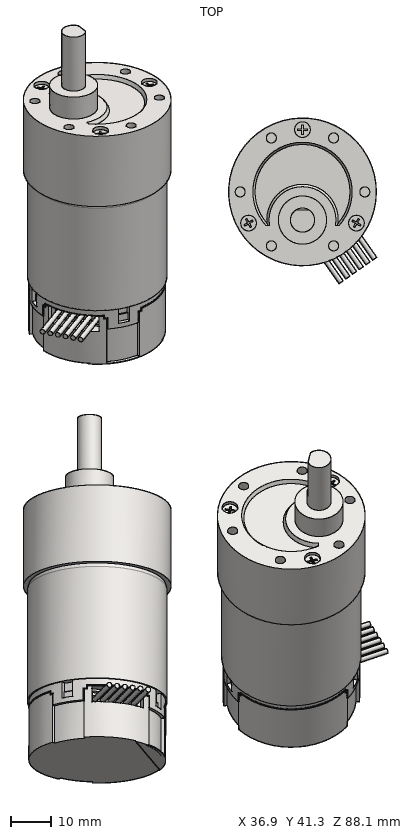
import cadquery as cq
import math


cap_radius = 17.05
cap_height = 15.4
can_radius = 17.4
can_length = 30.5
can_top_chamfer_height = 1.0
can_top_chamfer_width = 0.25
head_radius = 18.4
head_length = 20.2
boss_radius = 6.0
boss_height = 6.3
shaft_radius = 3.0
shaft_length = 15.5
shaft_offset = -7.0
can_bottom = cap_height
head_bottom = can_bottom + can_length
face_height = head_bottom + head_length
boss_top = face_height + boss_height
shaft_top = boss_top + shaft_length

flat_length = 12.2
flat_distance = 2.5

crescent_depth = 1.0
crescent_outer_rim = 12.35
crescent_outer_floor = 11.8
crescent_inner_rim = 8.3
crescent_inner_floor = 8.9
crescent_tip_y = -8.4

bolt_circle_radius = 15.5
mount_hole_diameter = 2.5
mount_hole_depth = 4.0
mount_hole_count = 6
screw_angles = (90, 210, 330)
screw_pocket_diameter = 3.9
screw_pocket_depth = 0.9
cross_length = 2.4
cross_width = 0.4
cross_depth = 0.6

cable_angle = 305
gap_offset = 45
near_gap = cable_angle - gap_offset
far_gap = cable_angle + gap_offset
back_gap = cable_angle + 180
gap_angles = (near_gap, far_gap, back_gap)
panel_gaps = ((near_gap, far_gap), (far_gap, back_gap), (back_gap, near_gap + 360))
gap_span = 30
gap_floor_radius = 16.2
gap_top = 9.85
panel_top = 13.55
panel_corner = 0.8
groove_width = 0.25
groove_depth = 0.3
latch_width = 2.85
latch_bottom = 11.1
latch_step_height = 13.0
latch_upper_depth = 1.4
latch_lower_depth = 1.0
foot_height = 0.2
foot_chord_x = 13.0

window_width = 13.6
window_bottom = 9.25
window_floor_radius = 13.4
socket_width = 11.7
socket_depth = 1.2
socket_bottom = 9.8
socket_top = 13.0
socket_floor_radius = window_floor_radius - socket_depth
plug_width = socket_width
plug_height = 1.9
plug_face_radius = 12.8
wire_count = 6
wire_pitch = 2.04
wire_radius = 0.65
wire_height = 11.05
wire_end_radius = 23.93
wire_row_offset = 0.07


def cylinder(radius, bottom, top, y=0.0):
    """Upright cylinder between two heights."""
    return cq.Workplane("XY", origin=(0, y, bottom)).circle(radius).extrude(top - bottom)


def cone(top_radius, bottom_radius, bottom, top, y=0.0):
    """Upright cone frustum between two heights."""
    solid = cq.Solid.makeCone(bottom_radius, top_radius, top - bottom, cq.Vector(0, y, bottom))
    return cq.Workplane(obj=solid)


def radial_block(angle, inner, outer, width, bottom, top):
    """Block reaching from an inner to an outer radius in the direction of an angle."""
    block = cq.Workplane("XY").box(outer - inner, width, top - bottom, centered=(False, True, False))
    return block.translate((inner, 0, bottom)).rotate((0, 0, 0), (0, 0, 1), angle)


def sector(start, end, inner, outer, bottom, top):
    """Ring sector between two angles, two radii and two heights."""

    def point(radius, angle):
        return (radius * math.cos(math.radians(angle)), radius * math.sin(math.radians(angle)))

    middle = (start + end) / 2
    outline = (
        cq.Workplane("XY", origin=(0, 0, bottom))
        .moveTo(*point(inner, start))
        .lineTo(*point(outer, start))
        .threePointArc(point(outer, middle), point(outer, end))
        .lineTo(*point(inner, end))
        .threePointArc(point(inner, middle), point(inner, start))
        .close()
    )
    return outline.extrude(top - bottom)


def make_can():
    chamfer_bottom = head_bottom - can_top_chamfer_height
    straight = cylinder(can_radius, can_bottom, chamfer_bottom)
    return straight.union(cone(can_radius - can_top_chamfer_width, can_radius, chamfer_bottom, head_bottom))


def make_shaft():
    boss = cylinder(boss_radius, face_height, boss_top, shaft_offset)
    shaft = cylinder(shaft_radius, boss_top, shaft_top, shaft_offset)
    flat = cq.Workplane("XY").box(
        2 * shaft_radius, shaft_radius, flat_length, centered=(True, False, False)
    )
    shaft = shaft.cut(flat.translate((0, shaft_offset + flat_distance, shaft_top - flat_length)))
    return boss.union(shaft)


def make_crescent():
    floor = face_height - crescent_depth
    pocket = cone(crescent_outer_rim, crescent_outer_floor, floor, face_height)
    pocket = pocket.cut(
        cone(crescent_inner_rim, crescent_inner_floor, floor, face_height, shaft_offset)
    )
    tip_limit = cq.Workplane("XY").box(
        2 * head_radius, 2 * head_radius, crescent_depth, centered=(True, False, False)
    )
    return pocket.intersect(tip_limit.translate((0, crescent_tip_y, floor)))


def make_screw_pocket(angle):
    floor = face_height - screw_pocket_depth
    pocket = cylinder(screw_pocket_diameter / 2, floor, face_height)
    for length, width in ((cross_length, cross_width), (cross_width, cross_length)):
        arm = cq.Workplane("XY").box(length, width, cross_depth, centered=(True, True, False))
        pocket = pocket.union(arm.translate((0, 0, floor - cross_depth)))
    return pocket.translate((bolt_circle_radius, 0, 0)).rotate((0, 0, 0), (0, 0, 1), angle)


def make_head():
    head = cylinder(head_radius, head_bottom, face_height).cut(make_crescent())
    holes = (
        cq.Workplane("XY", origin=(0, 0, face_height - mount_hole_depth))
        .polarArray(bolt_circle_radius, 0, 360, mount_hole_count)
        .circle(mount_hole_diameter / 2)
        .extrude(mount_hole_depth)
    )
    head = head.cut(holes)
    for angle in screw_angles:
        head = head.cut(make_screw_pocket(angle))
    return head


def make_panel_groove(start, end):
    """Groove over the top and upper sides of a panel, with stepped-in top corners."""
    inner = cap_radius - groove_depth
    outer = cap_radius + groove_depth
    width_angle = math.degrees(groove_width / cap_radius)
    corner_angle = math.degrees(panel_corner / cap_radius)
    corner_height = panel_top - panel_corner
    outside = sector(
        start - width_angle, end + width_angle, inner, outer, gap_top, corner_height + groove_width
    )
    outside = outside.union(
        sector(
            start + corner_angle - width_angle,
            end - corner_angle + width_angle,
            inner,
            outer,
            gap_top,
            panel_top + groove_width,
        )
    )
    panel = sector(start, end, inner, outer, gap_top, corner_height)
    panel = panel.union(
        sector(start + corner_angle, end - corner_angle, inner, outer, gap_top, panel_top)
    )
    return outside.cut(panel)


def make_latch_slot(angle):
    outer = cap_radius + groove_depth
    upper = radial_block(
        angle, cap_radius - latch_upper_depth, outer, latch_width, latch_step_height, cap_height
    )
    lower = radial_block(
        angle, cap_radius - latch_lower_depth, outer, latch_width, latch_bottom, latch_step_height
    )
    return upper.union(lower)


def make_cap():
    cap = cylinder(cap_radius, 0, cap_height)
    outer = cap_radius + groove_depth
    half_gap = gap_span / 2
    for angle in gap_angles:
        gap = sector(angle - half_gap, angle + half_gap, gap_floor_radius, outer, 0, gap_top)
        cap = cap.cut(gap).cut(make_latch_slot(angle))
    for start_gap, end_gap in panel_gaps:
        cap = cap.cut(make_panel_groove(start_gap + half_gap, end_gap - half_gap))
    return cap


def make_foot():
    """Thin raised segment under the +X side of the cap."""
    disc = cylinder(cap_radius, -foot_height, 0)
    segment = cq.Workplane("XY").box(
        cap_radius, 2 * cap_radius, foot_height, centered=(False, True, False)
    )
    return disc.intersect(segment.translate((foot_chord_x, 0, -foot_height)))


def make_window():
    return radial_block(
        cable_angle, window_floor_radius, head_radius, window_width, window_bottom, panel_top
    )


def make_socket():
    return radial_block(
        cable_angle, socket_floor_radius, head_radius, socket_width, socket_bottom, socket_top
    )


def make_plug():
    plug_bottom = wire_height - plug_height / 2
    return radial_block(
        cable_angle,
        socket_floor_radius,
        plug_face_radius,
        plug_width,
        plug_bottom,
        plug_bottom + plug_height,
    )


def make_wire(index):
    sideways = (index - (wire_count - 1) / 2) * wire_pitch + wire_row_offset
    wire = (
        cq.Workplane("YZ", origin=(socket_floor_radius, sideways, wire_height))
        .circle(wire_radius)
        .extrude(wire_end_radius - socket_floor_radius)
    )
    return wire.rotate((0, 0, 0), (0, 0, 1), cable_angle)


result = make_cap().cut(make_window()).cut(make_socket())
for part in (make_foot(), make_plug(), make_can(), make_head(), make_shaft()):
    result = result.union(part)
for wire_index in range(wire_count):
    result = result.union(make_wire(wire_index))